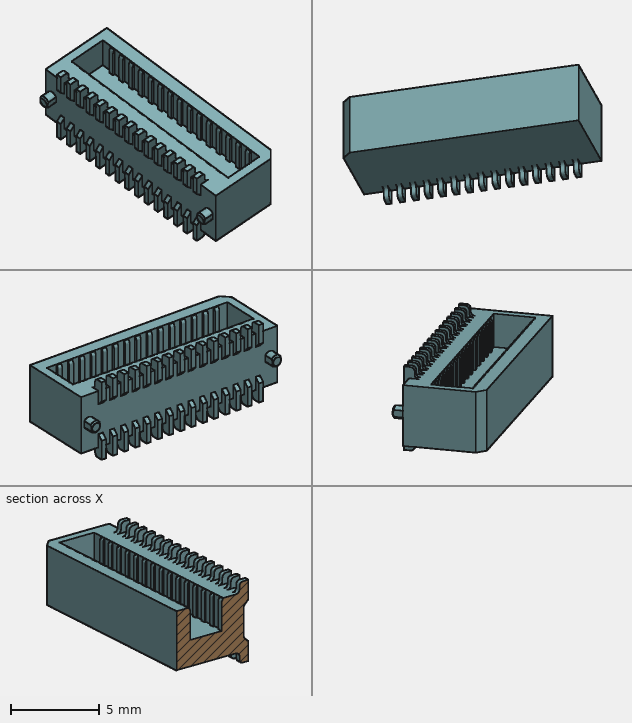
import cadquery as cq

HOUSING_LENGTH = 14.0
HOUSING_DEPTH = 4.8
HOUSING_HEIGHT = 3.65
KEY_CHAMFER = 0.5
HOUSING_TOP = HOUSING_HEIGHT / 2

POCKET_LENGTH = 12.87
POCKET_FRONT_Y = 1.5
POCKET_BACK_Y = 3.95
POCKET_DEPTH = 2.0

CONTACT_COUNT = 15
CONTACT_PITCH = 0.8
CONTACT_WIDTH = 0.31
FRONT_CONTACT_PROTRUSION = 0.1
BACK_CONTACT_PROTRUSION = 0.15
CONTACT_TOP_GAP = 0.03
CONTACT_ROOT = 0.1

SHOULDER_SETBACK = 0.1
SHOULDER_DROP = 0.09
NOSE_SETBACK = 0.05
NOSE_DROP = 0.25
NOSE_RADIUS = 0.22

LEAD_SPAN = 5.01
LEAD_STANDOFF = 0.3
LEAD_FOOT_THICKNESS = 0.63
LEAD_FOOT_LENGTH = 1.24
LEAD_BEND_RADIUS = 0.25
LEAD_EMBED = 0.1

PEG_SPACING = 12.9
PEG_DIAMETER = 0.75
PEG_WIDTH = 0.63
PEG_LENGTH = 0.7
PEG_TIP_CHAMFER = 0.1


def box(x_min, x_max, y_min, y_max, z_min, z_max):
    """Axis-aligned block given by its limits."""
    size = (x_max - x_min, y_max - y_min, z_max - z_min)
    return cq.Workplane("XY").box(*size, centered=False).translate((x_min, y_min, z_min))


def make_housing():
    """Block with one chamfered key corner and the socket pocket."""
    half = HOUSING_LENGTH / 2
    block = box(-half, half, 0, HOUSING_DEPTH, -HOUSING_TOP, HOUSING_TOP)
    block = block.edges("|Z and >X and >Y").chamfer(KEY_CHAMFER)
    pocket = box(
        -POCKET_LENGTH / 2, POCKET_LENGTH / 2,
        POCKET_FRONT_Y, POCKET_BACK_Y,
        HOUSING_TOP - POCKET_DEPTH, HOUSING_TOP,
    )
    return block.cut(pocket)


def make_contact(wall_y, inward, protrusion):
    """Contact strip on a pocket wall, rounded at its nose; inward is the Y sign away from the wall."""
    bottom_z = HOUSING_TOP - POCKET_DEPTH - CONTACT_ROOT
    top_z = HOUSING_TOP - CONTACT_TOP_GAP
    face_y = wall_y + inward * protrusion
    root_y = wall_y - inward * CONTACT_ROOT
    nose_y = face_y - inward * NOSE_SETBACK
    shoulder_y = face_y - inward * SHOULDER_SETBACK
    return (
        cq.Workplane("YZ", origin=(-CONTACT_WIDTH / 2, 0, 0))
        .moveTo(root_y, bottom_z)
        .lineTo(face_y, bottom_z)
        .lineTo(face_y, top_z - NOSE_DROP)
        .radiusArc((nose_y, top_z - SHOULDER_DROP), -inward * NOSE_RADIUS)
        .lineTo(shoulder_y, top_z)
        .lineTo(root_y, top_z)
        .close()
        .extrude(CONTACT_WIDTH)
    )


def make_lead():
    """Upper solder lead: chamfered inner end, foot rounded at its tip and flared into the housing."""
    tip_z = LEAD_SPAN / 2
    chamfer_z = tip_z - LEAD_FOOT_LENGTH
    inner_z = chamfer_z - LEAD_STANDOFF
    foot_back_y = LEAD_FOOT_THICKNESS - LEAD_STANDOFF
    flare_y = foot_back_y + LEAD_BEND_RADIUS
    radius = LEAD_BEND_RADIUS
    return (
        cq.Workplane("YZ", origin=(-CONTACT_WIDTH / 2, 0, 0))
        .moveTo(-LEAD_STANDOFF, tip_z)
        .lineTo(-LEAD_STANDOFF, chamfer_z)
        .lineTo(0, inner_z)
        .lineTo(LEAD_EMBED, inner_z)
        .lineTo(flare_y, HOUSING_TOP - LEAD_EMBED)
        .lineTo(flare_y, HOUSING_TOP)
        .radiusArc((foot_back_y, HOUSING_TOP + radius), radius)
        .lineTo(foot_back_y, tip_z - radius)
        .radiusArc((foot_back_y - radius, tip_z), -radius)
        .close()
        .extrude(CONTACT_WIDTH)
    )


def make_peg():
    """Locating peg at x = 0, pointing toward -Y."""
    pin = (
        cq.Workplane("XZ")
        .circle(PEG_DIAMETER / 2)
        .extrude(PEG_LENGTH)
        .faces("<Y")
        .chamfer(PEG_TIP_CHAMFER)
    )
    half_width = PEG_WIDTH / 2
    half_height = PEG_DIAMETER / 2
    flats = box(-half_width, half_width, -PEG_LENGTH, 0, -half_height, half_height)
    return pin.intersect(flats)


upper_lead = make_lead()
station_parts = [
    make_contact(POCKET_FRONT_Y, 1, FRONT_CONTACT_PROTRUSION),
    make_contact(POCKET_BACK_Y, -1, BACK_CONTACT_PROTRUSION),
    upper_lead,
    upper_lead.mirror("XY"),
]

result = make_housing()
for index in range(CONTACT_COUNT):
    station_x = (index - (CONTACT_COUNT - 1) / 2) * CONTACT_PITCH
    for station_part in station_parts:
        result = result.union(station_part.translate((station_x, 0, 0)))

for side in (-1, 1):
    result = result.union(make_peg().translate((side * PEG_SPACING / 2, 0, 0)))